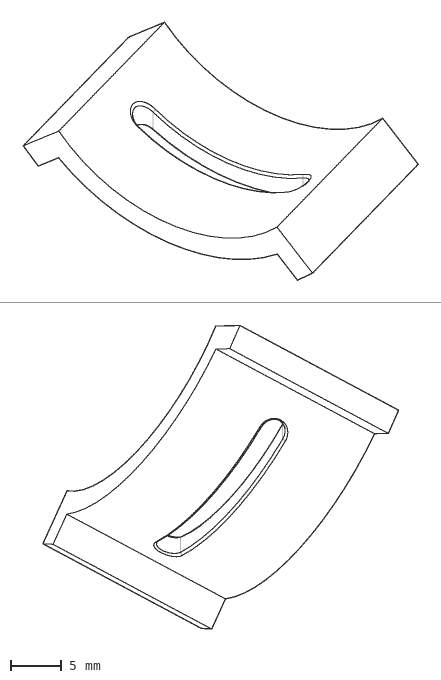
import cadquery as cq
import math

length = 34.08
width = 19.05
height = 8.45

thickness = 2.55
rim_x = 12.85
rim_z = height
inner_sag = rim_z - thickness
inner_radius = (rim_x**2 + inner_sag**2) / (2 * inner_sag)
outer_radius = inner_radius + thickness
centre_z = outer_radius

flange_drop = 4.05
flange_run = length / 2 - rim_x
flange_length = math.hypot(flange_run, flange_drop)
flange_thickness = thickness
along_x = flange_run / flange_length
along_z = -flange_drop / flange_length

slot_length = 20.25
slot_width = 2.6
slot_chamfer = 0.255


def right_profile_points():
    """Rim, flange tip and inside flange corner on the +X side."""
    tip = (length / 2, rim_z - flange_drop)
    tip_bottom = (tip[0] + flange_thickness * along_z, tip[1] - flange_thickness * along_x)
    rel_z = tip_bottom[1] - centre_z
    projection = tip_bottom[0] * along_x + rel_z * along_z
    offset = tip_bottom[0]**2 + rel_z**2 - outer_radius**2
    travel = projection - math.sqrt(projection**2 - offset)
    corner = (tip_bottom[0] - travel * along_x, tip_bottom[1] - travel * along_z)
    return (rim_x, rim_z), tip, tip_bottom, corner


def mirrored(point):
    return (-point[0], point[1])


def make_body():
    rim, tip, tip_bottom, corner = right_profile_points()
    return (
        cq.Workplane("XZ")
        .moveTo(*mirrored(rim))
        .threePointArc((0, thickness), rim)
        .lineTo(*tip)
        .lineTo(*tip_bottom)
        .lineTo(*corner)
        .threePointArc((0, 0), mirrored(corner))
        .lineTo(*mirrored(tip_bottom))
        .lineTo(*mirrored(tip))
        .close()
        .extrude(width / 2, both=True)
    )


def cut_slot(body):
    """Cut the rounded slot and chamfer its upper and lower edges."""
    slot = cq.Workplane("XY").slot2D(slot_length, slot_width).extrude(height)
    slotted = body.cut(slot)
    wall_edges = slotted.edges(cq.selectors.BoxSelector(
        (-slot_length / 2, -slot_width, 0),
        (slot_length / 2, slot_width, height),
    ))
    return wall_edges.edges("not |Z").chamfer(slot_chamfer)


result = cut_slot(make_body())